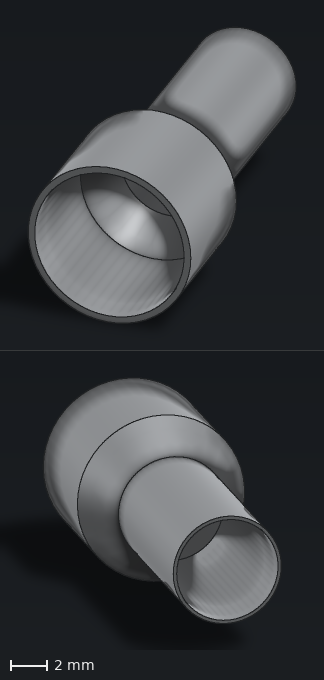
import cadquery as cq

total_length = 22.0
collar_length = 7.5
cone_length = 2.5

collar_outer_diameter = 9.6
collar_inner_diameter = 8.8
tube_outer_diameter = 6.2
tube_inner_diameter = 5.8

cone_end = collar_length + cone_length


def stepped_solid(collar_diameter, tube_diameter):
    """Solid of revolution about Y: a collar tapering into a tube."""
    collar_radius = collar_diameter / 2
    tube_radius = tube_diameter / 2
    half_profile = (
        cq.Workplane("XY")
        .moveTo(0, 0)
        .lineTo(collar_radius, 0)
        .lineTo(collar_radius, collar_length)
        .lineTo(tube_radius, cone_end)
        .lineTo(tube_radius, total_length)
        .lineTo(0, total_length)
        .close()
    )
    return half_profile.revolve(360, (0, 0, 0), (0, 1, 0))


outer_body = stepped_solid(collar_outer_diameter, tube_outer_diameter)
bore = stepped_solid(collar_inner_diameter, tube_inner_diameter)

result = outer_body.cut(bore)